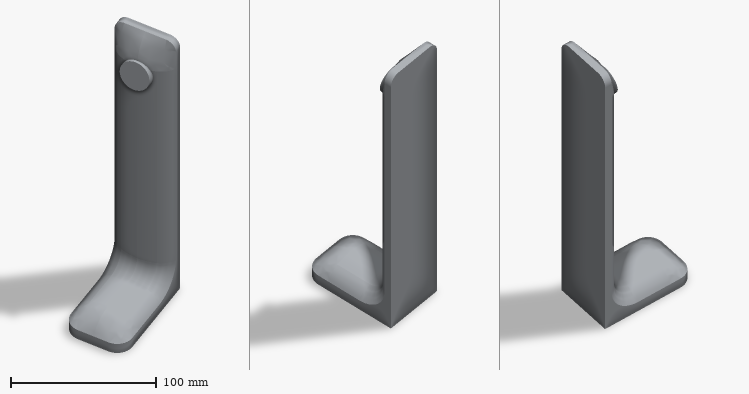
import cadquery as cq
import math

width = 48.5
height = 241.5
reach = 78.2
half_width = width / 2

arm_base = 5.8
foot_base = 8.7
bend_radius = 23.2
arm_corner_radius = 8.0
foot_corner_radius = 12.0

crown_height = 11.4
crown_radius = 41.0
crown_half_span = 14.2
arm_cap_length = 24.5
foot_cap_length = 21.0

button_diameter = 23.5
button_thickness = 7.2
button_tilt = 9.0
button_face_y = -20.8
button_face_z = 211.0

bend_y = -(arm_base + bend_radius)
bend_z = foot_base + bend_radius
arm_straight = height - arm_cap_length - bend_z
foot_straight = reach - foot_cap_length + bend_y

arm_plane = cq.Plane((0, -arm_base, height - arm_cap_length), xDir=(1, 0, 0), normal=(0, -1, 0))
foot_plane = cq.Plane((0, foot_cap_length - reach, foot_base), xDir=(-1, 0, 0), normal=(0, 0, 1))


def crown_height_at(x):
    """Height of the centre arc at a distance x from the middle."""
    return crown_height - crown_radius + math.sqrt(crown_radius**2 - x**2)


def half_section_edges(side):
    """Crown arcs from the middle to the rim; side is +1 or -1."""
    mid_span = crown_half_span / 2
    centre_arc = cq.Edge.makeThreePointArc(
        cq.Vector(0, 0, crown_height),
        cq.Vector(side * mid_span, 0, crown_height_at(mid_span)),
        cq.Vector(side * crown_half_span, 0, crown_height_at(crown_half_span)),
    )
    side_arc = cq.Edge.makeTangentArc(
        centre_arc.endPoint(), centre_arc.tangentAt(1), cq.Vector(side * half_width, 0, 0)
    )
    return [centre_arc, side_arc]


def crown_section():
    """Full crown section standing on its flat chord."""
    chord = cq.Edge.makeLine(cq.Vector(-half_width, 0, 0), cq.Vector(half_width, 0, 0))
    edges = half_section_edges(1) + half_section_edges(-1) + [chord]
    return cq.Face.makeFromWires(cq.Wire.combine(edges)[0])


def half_rim_edges(side, length, corner_radius):
    """Base outline of half a cap, from the section round the corner to the tip."""
    corner_inset = corner_radius * (1 - math.sqrt(0.5))
    rim_start = cq.Vector(side * half_width, 0, 0)
    corner_start = cq.Vector(side * half_width, length - corner_radius, 0)
    corner_middle = cq.Vector(side * (half_width - corner_inset), length - corner_inset, 0)
    corner_end = cq.Vector(side * (half_width - corner_radius), length, 0)
    return [
        cq.Edge.makeLine(rim_start, corner_start),
        cq.Edge.makeThreePointArc(corner_start, corner_middle, corner_end),
        cq.Edge.makeLine(corner_end, cq.Vector(0, length, 0)),
    ]


def rounded_cap(length, corner_radius):
    """Tip of a limb: two smooth patches between the section, the rim and a ridge arc."""
    ridge = cq.Edge.makeTangentArc(
        cq.Vector(0, 0, crown_height), cq.Vector(0, 1, 0), cq.Vector(0, length, 0)
    )
    chord = cq.Edge.makeLine(cq.Vector(-half_width, 0, 0), cq.Vector(half_width, 0, 0))
    outline = [chord]
    faces = [crown_section()]
    for side in (1, -1):
        rim = half_rim_edges(side, length, corner_radius)
        outline += rim
        faces.append(cq.Face.makeNSidedSurface(half_section_edges(side) + rim + [ridge], []))
    faces.append(cq.Face.makeFromWires(cq.Wire.combine(outline)[0]))
    solid = cq.Solid.makeSolid(cq.Shell.makeShell(faces))
    return solid.fix()


def crowned_limb(plane, straight, cap_length, corner_radius):
    """Straight crowned stretch and its rounded cap, placed on the limb plane."""
    bar = cq.Solid.extrudeLinear(crown_section(), cq.Vector(0, -straight, 0))
    cap = rounded_cap(cap_length, corner_radius)
    return [shape.moved(cq.Location(plane)) for shape in (bar, cap)]


def crowned_bend():
    """Crown section turned through the inside corner between foot and arm."""
    at_foot = cq.Plane((0, bend_y, foot_base), xDir=(-1, 0, 0), normal=(0, 0, 1))
    section = crown_section().moved(cq.Location(at_foot))
    return cq.Solid.revolve(section, 90, cq.Vector(0, bend_y, bend_z), cq.Vector(2.5, bend_y, bend_z))


def bracket_base():
    """L-shaped flat-sided base with rounded tip corners."""
    base = (
        cq.Workplane("YZ")
        .moveTo(0, 0)
        .lineTo(-reach, 0)
        .lineTo(-reach, foot_base)
        .lineTo(bend_y, foot_base)
        .radiusArc((-arm_base, bend_z), -bend_radius)
        .lineTo(-arm_base, height)
        .lineTo(0, height)
        .close()
        .extrude(half_width, both=True)
    )
    base = base.faces(">Z").edges("|Y").fillet(arm_corner_radius)
    return base.faces("<Y").edges("|Z").fillet(foot_corner_radius)


def make_button():
    """Disc whose outer face leans back to look slightly upwards."""
    tilt = math.radians(button_tilt)
    face_plane = cq.Plane(
        (0, button_face_y, button_face_z),
        xDir=(1, 0, 0),
        normal=(0, -math.cos(tilt), math.sin(tilt)),
    )
    return cq.Workplane(face_plane).circle(button_diameter / 2).extrude(-button_thickness)


def make_bracket(button):
    """Crowned L bracket with a recess that matches the button."""
    crowns = [crowned_bend()]
    crowns += crowned_limb(arm_plane, arm_straight, arm_cap_length, arm_corner_radius)
    crowns += crowned_limb(foot_plane, foot_straight, foot_cap_length, foot_corner_radius)
    bracket = cq.Workplane(bracket_base().val().fuse(*crowns))
    return bracket.cut(button, clean=False)


button = make_button()
bracket = make_bracket(button)
result = cq.Compound.makeCompound([*bracket.solids().vals(), button.val()])